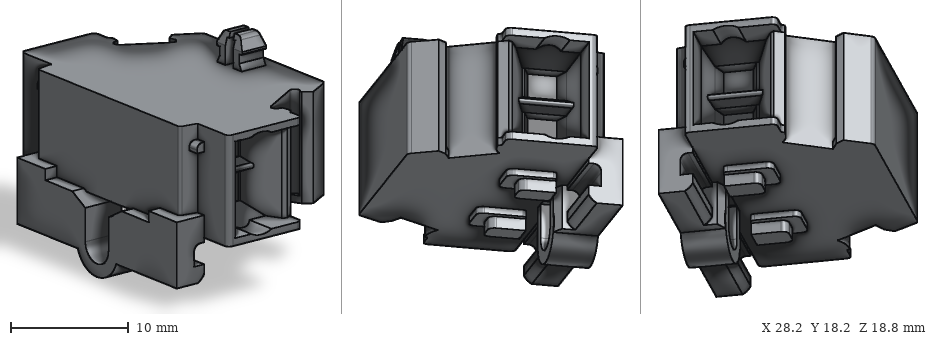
import cadquery as cq
import math


overrun = 0.28

half_length = 14.1
body_bottom = 5.78
body_height = 10.0
body_top = body_bottom + body_height
body_front = 1.27
body_back = 18.2
plate_thickness = 0.68
inner_bottom = body_bottom + plate_thickness
inner_top = body_top - plate_thickness
mid_height = body_bottom + body_height / 2

nose_front_half = 9.65
nose_root_half = 9.95
nose_round = 0.28
wing_front = 3.0
wing_back = 11.03
wing_round = 0.48
bump_back = 11.3
bump_foot_round = 0.3
bump_start = (-12.4, wing_back)
bump_top_start = (-12.2, bump_back)
bump_top_end = (-11.95, bump_back)
bump_mid = (-11.1, 11.15)
neck_root = (-10.3, 10.7)
neck_tip = (-8.0, 14.52)
lip_mid = (-9.02, 15.05)
head_tip = (-9.6, 15.82)
head_slope = math.radians(60)
head_back_half = -head_tip[0] - (body_back - head_tip[1]) / math.tan(head_slope)
head_round = 0.55

relief_radius = 0.465

entry_front = 3.78
entry_x = -11.1
funnel_x = -9.02
floor_x = -7.6
wall_end = [(-12.45, 10.12), (-12.72, 10.5)]
funnel_back_inner = 8.35
funnel_front_inner = 4.48
funnel_depth = 1.05
throat_back_outer = 8.15
throat_back_inner = 7.5
throat_front_inner = 4.94
divider_nose_x = -10.15
divider_height = 1.38
divider_nose_radius = 0.25
divider_slope_x = -9.9
scallop_center = 6.6
scallop_half_width = 1.1
scallop_depth = 0.28

stud_front = 14.38
stud_back = 17.0
stud_height = 3.0
stud_barb_height = 1.78
stud_gap_half = 0.54
stud_lip_half = 0.28
stud_lip_bottom = 2.45
stud_root_half = 1.65
stud_root_height = 0.62
stud_neck_half = 1.33
stud_neck_top = 1.47
stud_barb_half = 1.75
stud_barb_chamfer = 0.1
stud_crown_start = (-1.25, 2.7)
stud_crown_mid = (-1.07, 2.9)
stud_crown_half = 0.82
stud_taper = 0.35

foot_half_length = 10.85
foot_bottom = 1.85
foot_top = 7.8
foot_shelf = 6.8
shelf_half = 7.02
vee_top_half = 3.35
slot_radius = 1.58
ring_radius = 2.75
foot_depth = 3.95
hub_half = 3.67
hub_back_half = 2.62
hub_straight = 3.45
groove_bottom = 3.4
groove_top = 5.4
groove_floor = 1.9
groove_round = 0.68
hook_corner = 0.7
hook_corner_mid = 0.295
undercut_top = 6.57

nub_bottom = 13.5
nub_height = 0.87
nub_depth = 0.8
nub_round = 0.55

boss_left = -6.77
boss_right = -3.38
boss_front = 4.62
boss_base_back = 9.0
boss_base_drop = 0.6
boss_tip_back = 7.8
boss_tip_drop = 1.64
boss_tip_inset = 0.55
boss_back_round = 0.6
boss_front_round = 0.42


def box(x0, x1, y0, y1, z0, z1):
    return cq.Workplane("XY").box(x1 - x0, y1 - y0, z1 - z0, centered=False).translate((x0, y0, z0))


def both_sides(shape):
    return shape.union(shape.mirror("YZ"))


def round_upright(shape, x, y, radius):
    """Fillet the upright edge that stands at (x, y)."""
    reach = 0.05
    edges = cq.selectors.BoxSelector((x - reach, y - reach, 0), (x + reach, y + reach, body_top))
    return shape.edges("|Z").edges(edges).fillet(radius)


def body_half():
    half = (
        cq.Workplane("XY", origin=(0, 0, body_bottom))
        .moveTo(0, body_front)
        .lineTo(-nose_front_half, body_front)
        .lineTo(-nose_root_half, wing_front)
        .lineTo(-half_length, wing_front)
        .lineTo(-half_length, wing_back)
        .lineTo(*bump_start)
        .lineTo(*bump_top_start)
        .lineTo(*bump_top_end)
        .threePointArc(bump_mid, neck_root)
        .lineTo(*neck_tip)
        .lineTo(*lip_mid)
        .lineTo(*head_tip)
        .lineTo(-head_back_half, body_back)
        .lineTo(0, body_back)
        .close()
        .extrude(body_height)
    )
    half = round_upright(half, -nose_front_half, body_front, nose_round)
    half = round_upright(half, -half_length, wing_front, wing_round)
    half = round_upright(half, -half_length, wing_back, wing_round)
    half = round_upright(half, *bump_start, bump_foot_round)
    half = round_upright(half, -head_back_half, body_back, head_round)
    neck_angle = math.atan2(neck_tip[1] - neck_root[1], neck_tip[0] - neck_root[0])
    relief_centers = [
        (x - relief_radius * math.sin(neck_angle), y + relief_radius * math.cos(neck_angle))
        for x, y in (neck_root, neck_tip)
    ]
    reliefs = (
        cq.Workplane("XY", origin=(0, 0, inner_bottom))
        .pushPoints(relief_centers)
        .circle(relief_radius)
        .extrude(body_height)
    )
    return half.cut(reliefs)


def wire_entry():
    """Mouth between the plates, funnel and throat as one cutter, less the divider."""
    outside = -half_length - overrun
    behind = bump_back + overrun
    plan = (
        cq.Workplane("XY", origin=(0, 0, body_bottom))
        .polyline([
            (outside, entry_front), (entry_x, entry_front), (funnel_x, funnel_front_inner),
            (floor_x, throat_front_inner), (floor_x, throat_back_inner), (funnel_x, throat_back_outer),
            (funnel_x, funnel_back_inner), *wall_end, bump_top_start,
            (bump_top_start[0], behind), (outside, behind),
        ])
        .close()
        .extrude(body_height)
    )
    mouth = box(outside, floor_x, 0, body_back, inner_bottom, inner_top)
    for edge_z, direction in ((inner_bottom, -1), (inner_top, 1)):
        scallop = (
            cq.Workplane("YZ", origin=(outside, 0, 0))
            .moveTo(scallop_center - scallop_half_width, edge_z)
            .threePointArc(
                (scallop_center, edge_z + direction * scallop_depth),
                (scallop_center + scallop_half_width, edge_z),
            )
            .close()
            .extrude(funnel_x - outside)
        )
        mouth = mouth.union(scallop)
    slope_start_x = entry_x - scallop_depth * (funnel_x - entry_x) / funnel_depth
    low = inner_bottom - scallop_depth
    high = inner_top + scallop_depth
    side = (
        cq.Workplane("XZ")
        .polyline([
            (outside, low), (slope_start_x, low), (funnel_x, inner_bottom + funnel_depth),
            (floor_x, inner_bottom + funnel_depth), (floor_x, inner_top - funnel_depth),
            (funnel_x, inner_top - funnel_depth), (slope_start_x, high), (outside, high),
        ])
        .close()
        .extrude(-body_back)
    )
    divider = (
        cq.Workplane("XZ")
        .moveTo(floor_x, mid_height - divider_height / 2)
        .lineTo(funnel_x, mid_height - divider_height / 2)
        .lineTo(divider_slope_x, mid_height - divider_nose_radius)
        .threePointArc((divider_nose_x, mid_height), (divider_slope_x, mid_height + divider_nose_radius))
        .lineTo(funnel_x, mid_height + divider_height / 2)
        .lineTo(floor_x, mid_height + divider_height / 2)
        .close()
        .extrude(-body_back)
    )
    return plan.intersect(mouth).intersect(side).cut(divider)


def stud_half():
    gap = -stud_gap_half
    lip = -stud_lip_half
    neck = -stud_neck_half
    barb = -stud_barb_half
    half = (
        cq.Workplane("XZ", origin=(0, stud_front, body_top))
        .moveTo(gap, 0)
        .lineTo(-stud_root_half, 0)
        .lineTo(neck, stud_root_height)
        .lineTo(neck, stud_neck_top)
        .lineTo(barb + stud_barb_chamfer, stud_neck_top)
        .lineTo(barb, stud_neck_top + stud_barb_chamfer)
        .lineTo(barb, stud_barb_height)
        .lineTo(*stud_crown_start)
        .threePointArc(stud_crown_mid, (-stud_crown_half, stud_height))
        .lineTo(lip, stud_height)
        .lineTo(lip, stud_lip_bottom)
        .lineTo(gap, stud_lip_bottom)
        .close()
        .extrude(stud_front - stud_back)
    )
    barb_z = body_top + stud_barb_height
    tip_z = body_top + stud_height
    envelope = (
        cq.Workplane("YZ")
        .polyline([
            (stud_front, body_top), (stud_back, body_top), (stud_back, barb_z),
            (stud_back - stud_taper, tip_z), (stud_front + stud_taper, tip_z), (stud_front, barb_z),
        ])
        .close()
        .extrude(-half_length)
    )
    return half.intersect(envelope)


def nub():
    block = box(
        -foot_half_length, -nose_front_half,
        wing_front - nub_depth, wing_front,
        nub_bottom, nub_bottom + nub_height,
    )
    return block.edges(">Z and <Y").fillet(nub_round)


def stepped_boss():
    base = box(
        boss_left, boss_right, boss_front, boss_base_back, body_bottom - boss_base_drop, body_bottom
    )
    base = base.edges("|Z and >Y").fillet(boss_back_round)
    base = base.edges("|Z and <Y").fillet(boss_front_round)
    tip = box(
        boss_left + boss_tip_inset, boss_right - boss_tip_inset,
        boss_front, boss_tip_back,
        body_bottom - boss_tip_drop, body_bottom,
    )
    return base.union(tip.edges("|Z and >Y").fillet(boss_back_round))


def vee_half(z):
    """Half width of the V mouth above the slot at height z."""
    return slot_radius + (vee_top_half - slot_radius) * (z - body_bottom) / (foot_shelf - body_bottom)


def vee_cutter(top):
    """Slot with a round lower end and a V mouth that ends at height top."""
    return (
        cq.Workplane("XZ")
        .moveTo(-slot_radius, ring_radius)
        .threePointArc((0, ring_radius - slot_radius), (slot_radius, ring_radius))
        .lineTo(slot_radius, body_bottom)
        .lineTo(vee_half(top), top)
        .lineTo(-vee_half(top), top)
        .lineTo(-slot_radius, body_bottom)
        .close()
        .extrude(-foot_depth)
    )


def foot():
    arc_gap = groove_round * (1 - math.sqrt(0.5))
    bar = (
        cq.Workplane("YZ", origin=(-foot_half_length, 0, 0))
        .moveTo(0, foot_bottom)
        .lineTo(wing_front - hook_corner, foot_bottom)
        .threePointArc(
            (wing_front - hook_corner_mid, foot_bottom + hook_corner_mid),
            (wing_front, foot_bottom + hook_corner),
        )
        .lineTo(wing_front, groove_bottom)
        .lineTo(groove_floor, groove_bottom)
        .lineTo(groove_floor, groove_top - groove_round)
        .threePointArc(
            (groove_floor + arc_gap, groove_top - arc_gap),
            (groove_floor + groove_round, groove_top),
        )
        .lineTo(wing_front, groove_top)
        .lineTo(wing_front, foot_top)
        .lineTo(0, foot_top)
        .close()
        .extrude(2 * foot_half_length)
    )
    hub = (
        cq.Workplane("XY", origin=(0, 0, foot_bottom))
        .polyline([
            (-hub_half, 0), (hub_half, 0), (hub_half, hub_straight), (hub_back_half, foot_depth),
            (-hub_back_half, foot_depth), (-hub_half, hub_straight),
        ])
        .close()
        .extrude(body_bottom - foot_bottom)
    )
    ring = cq.Workplane("XZ").center(0, ring_radius).circle(ring_radius).extrude(-foot_depth)
    shelf = box(-shelf_half, shelf_half, 0, foot_depth, foot_shelf, foot_top)
    return bar.union(hub).union(ring).cut(shelf).cut(vee_cutter(foot_shelf))


body = both_sides(body_half().cut(wire_entry()))
body = body.cut(vee_cutter(undercut_top))
fittings = stud_half().union(nub()).union(stepped_boss())
result = body.union(foot()).union(both_sides(fittings))